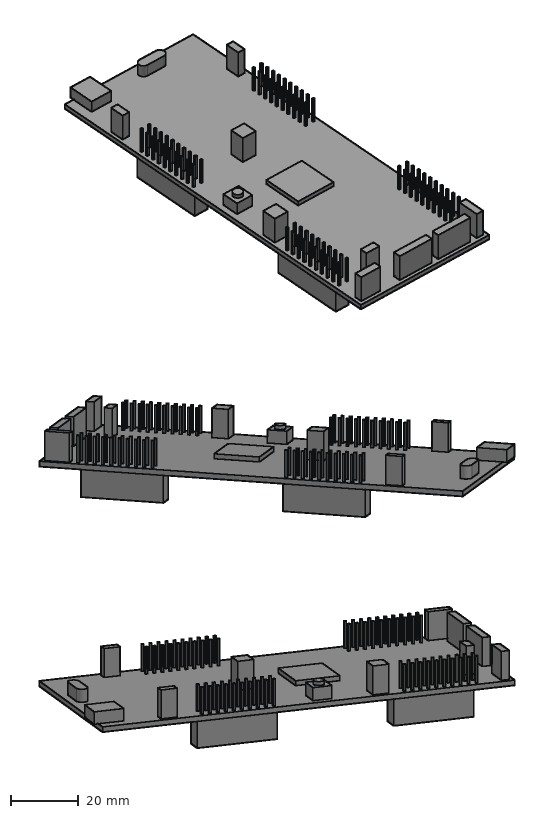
import cadquery as cq

PITCH = 2.54
EDGE_INSET = PITCH / 2

BOARD_LENGTH = 130.56
BOARD_WIDTH = 50.8
BOARD_THICKNESS = 1.65

HEADER_HEIGHT = 8.89
RIGHT_COLUMN_X = BOARD_LENGTH - EDGE_INSET - PITCH
BACK_ROW_Y = BOARD_WIDTH - EDGE_INSET - PITCH
LEFT_HEADERS_X = 19.05
HEADER_PLACEMENTS = (
    (LEFT_HEADERS_X, EDGE_INSET, 2, 1),
    (LEFT_HEADERS_X, BACK_ROW_Y, 2, 1),
    (50.8, 20.32, 2, 2),
    (RIGHT_COLUMN_X - 16 * PITCH, EDGE_INSET, 2, 2),
    (RIGHT_COLUMN_X - 3 * PITCH, 10.16, 1, 2),
    (RIGHT_COLUMN_X - 2 * PITCH, BACK_ROW_Y, 3, 1),
    (RIGHT_COLUMN_X, 31.75, 1, 5),
    (RIGHT_COLUMN_X, 16.51, 1, 5),
    (RIGHT_COLUMN_X, EDGE_INSET, 1, 3),
)

SOCKET_COLUMNS = 10
SOCKET_ROWS = 2
SOCKET_LENGTH = SOCKET_COLUMNS * PITCH
SOCKET_WIDTH = SOCKET_ROWS * PITCH
SOCKET_DEPTH = 8.64
SOCKET_STARTS_X = (30.48, 92.71)

PIN_SIZE = 0.64
PIN_HEIGHT = 8.26
PINS_PER_ROW = 10
PIN_STARTS_X = (32.05, 96.2)
PIN_ROW_INSETS = (1.7, 4.75)

USB_LENGTH = 9.3
USB_WIDTH = 7.75
USB_HEIGHT = 3.81
USB_OVERHANG = 1.27
USB_Y = 3.43

CRYSTAL_LENGTH = 10.0
CRYSTAL_WIDTH = 3.5
CRYSTAL_HEIGHT = 4.0
CRYSTAL_CENTER = (4.25, 30.6)
ALONG_Y = 90

CHIP_SIZE = 14.0
CHIP_HEIGHT = 1.5
CHIP_CENTER = (75.4, 25.4)

BUTTON_SIZE = 6.0
BUTTON_HEIGHT = 4.0
KNOB_DIAMETER = 3.3
KNOB_HEIGHT = 1.2
BUTTON_CENTER = (70.5, 5.2)


def block(x, y, length, width, height, base_z=0.0):
    """Box with its minimum corner at (x, y, base_z)."""
    return cq.Workplane("XY").box(length, width, height, centered=False).translate((x, y, base_z))


def header(x, y, columns, rows):
    """Header block covering a grid of columns along X and rows along Y."""
    return block(x, y, columns * PITCH, rows * PITCH, HEADER_HEIGHT)


def make_board():
    return block(0, 0, BOARD_LENGTH, BOARD_WIDTH, BOARD_THICKNESS, -BOARD_THICKNESS)


def make_headers():
    return [header(*placement) for placement in HEADER_PLACEMENTS]


def make_sockets():
    base_z = -BOARD_THICKNESS - SOCKET_DEPTH
    sockets = []
    for x in SOCKET_STARTS_X:
        for y in (EDGE_INSET, BOARD_WIDTH - EDGE_INSET - SOCKET_WIDTH):
            sockets.append(block(x, y, SOCKET_LENGTH, SOCKET_WIDTH, SOCKET_DEPTH, base_z))
    return sockets


def make_pins():
    """Square pins in two rows along the front edge and two along the back edge."""
    rows_y = list(PIN_ROW_INSETS)
    rows_y += [BOARD_WIDTH - inset for inset in PIN_ROW_INSETS]
    centers = []
    for start_x in PIN_STARTS_X:
        for column in range(PINS_PER_ROW):
            for y in rows_y:
                centers.append((start_x + column * PITCH, y))
    return cq.Workplane("XY").pushPoints(centers).rect(PIN_SIZE, PIN_SIZE).extrude(PIN_HEIGHT)


def make_usb():
    return block(-USB_OVERHANG, USB_Y, USB_LENGTH, USB_WIDTH, USB_HEIGHT)


def make_crystal():
    outline = cq.Workplane("XY").center(*CRYSTAL_CENTER).slot2D(CRYSTAL_LENGTH, CRYSTAL_WIDTH, ALONG_Y)
    return outline.extrude(CRYSTAL_HEIGHT)


def make_chip():
    return cq.Workplane("XY").center(*CHIP_CENTER).rect(CHIP_SIZE, CHIP_SIZE).extrude(CHIP_HEIGHT)


def make_button():
    base = cq.Workplane("XY").center(*BUTTON_CENTER)
    body = base.rect(BUTTON_SIZE, BUTTON_SIZE).extrude(BUTTON_HEIGHT)
    knob = base.circle(KNOB_DIAMETER / 2).extrude(BUTTON_HEIGHT + KNOB_HEIGHT)
    return body.union(knob)


result = make_board()
components = make_headers() + make_sockets()
components += [make_pins(), make_usb(), make_crystal(), make_chip(), make_button()]
for component in components:
    result = result.union(component)